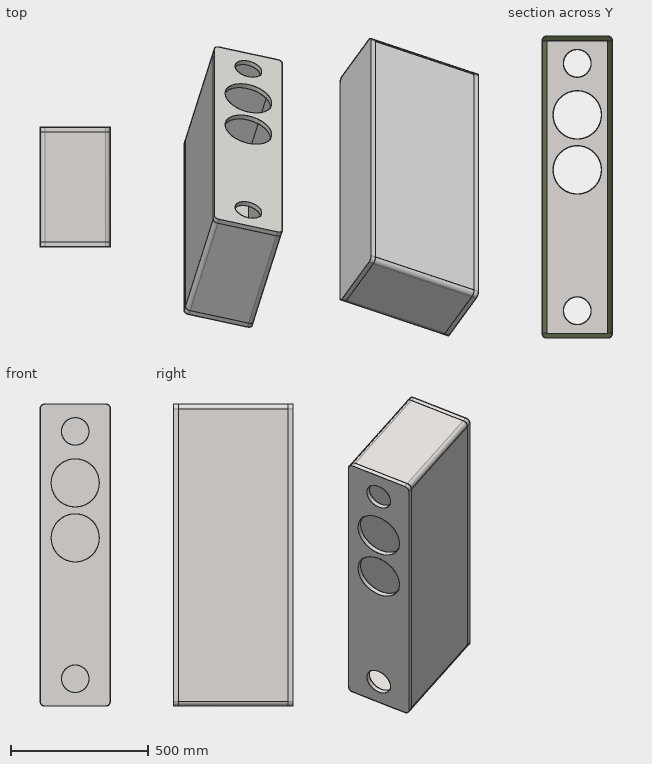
import cadquery as cq

width = 256.0
depth = 436.0
height = 1100.0

board = 18.0
edge_radius = board
inner_depth = depth - 2 * board
inner_height = height - 2 * board

small_diameter = 100.0
woofer_diameter = 175.0
end_distance = 100.0
tweeter_gap = 50.0
woofer_gap = 25.0

port_z = end_distance
tweeter_z = height - end_distance
upper_woofer_z = tweeter_z - small_diameter / 2 - tweeter_gap - woofer_diameter / 2
lower_woofer_z = upper_woofer_z - woofer_diameter - woofer_gap
openings = [
    (port_z, small_diameter),
    (lower_woofer_z, woofer_diameter),
    (upper_woofer_z, woofer_diameter),
    (tweeter_z, small_diameter),
]


def panel(size_x, size_y, size_z, x, y, z):
    """Rectangular board centred on x and y with its underside at z."""
    board_box = cq.Workplane("XY").box(size_x, size_y, size_z, centered=(True, True, False))
    return board_box.translate((x, y, z))


def make_end_board(y):
    """Full-size front or back board with its long corners rounded."""
    return panel(width, board, height, 0, y, 0).edges("|Y").fillet(edge_radius)


def make_baffle():
    """Front board with the port, woofer and tweeter openings bored through."""
    baffle = make_end_board(-(depth - board) / 2)
    for z, diameter in openings:
        cutter = (
            cq.Workplane("XZ", origin=(0, -depth / 2, z))
            .circle(diameter / 2)
            .extrude(-board)
        )
        baffle = baffle.cut(cutter)
    return baffle


def make_side(direction):
    """Side board standing between the top and bottom boards."""
    return panel(board, inner_depth, inner_height, direction * (width - board) / 2, 0, board)


def make_top():
    """Full-width top board whose long outer edges are quarter rounds as tall as the board."""
    inner_face_z = height - board
    flat_end_x = width / 2 - edge_radius
    return (
        cq.Workplane("XZ", origin=(0, inner_depth / 2, 0))
        .moveTo(-width / 2, inner_face_z)
        .lineTo(width / 2, inner_face_z)
        .radiusArc((flat_end_x, height), -edge_radius)
        .lineTo(-flat_end_x, height)
        .radiusArc((-width / 2, inner_face_z), -edge_radius)
        .close()
        .extrude(inner_depth)
    )


def make_bottom():
    """Bottom board, the mirror image of the top board about mid-height."""
    return make_top().mirror("XY", (0, 0, height / 2))


baffle = make_baffle()
back = make_end_board((depth - board) / 2)
sides = [make_side(direction) for direction in (-1, 1)]
bottom = make_bottom()
top = make_top()

result = cq.Compound.makeCompound(
    [baffle.val(), back.val(), *[side.val() for side in sides], bottom.val(), top.val()]
)